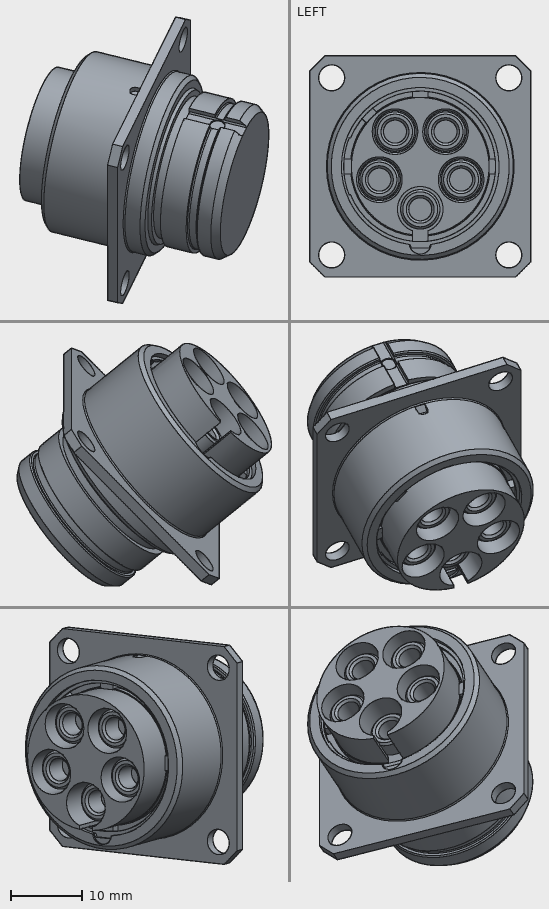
import cadquery as cq
import math


flange_side = 31.0
flange_start = 15.1
flange_thickness = 1.5
flange_end = flange_start + flange_thickness
corner_cut = 2.15
mount_hole_offset = 12.4
mount_hole_radius = 1.8

shell_start = 4.22
shell_end = 19.6
shell_radius = 13.02
shell_chamfer = 0.55
root_flare = 0.12
root_flare_length = 0.22
collar_end = 20.1
collar_front_radius = 11.3
collar_rear_radius = 11.13
neck_radius = 10.25
neck_end = 21.42
total_length = 30.0

ring_radius = 11.15
taper_start = 28.9
taper_end_radius = 10.32
groove_start = 25.23
groove_end = 26.88
groove_radius = 10.5
groove_corner_length = 0.22
groove_corner_height = 0.1
groove_lip = 0.2

channel_half_width = 1.05
channel_floor_half_width = 0.85
channel_corner_height = 0.22
spot_x = 25.98
spot_radius = 1.05
spot_depth = 0.22

pit_radius = 0.75
pit_start = 13.02
pit_ramp_start = 13.98
pit_end = 14.8
pit_floor = shell_radius - (pit_end - pit_ramp_start)

entry_radius = 11.05
entry_end = 4.93
lip_radius = 10.55
lip_end = 5.45
undercut_radius = 11.62
cavity_end = 6.82
relief_radius = 10.73
relief_half_angle = 22.0

key_start = lip_end
angled_key_angle = 45
angled_key_start = entry_end + 0.15
bottom_key_angle = 270
key_angles = [0, angled_key_angle, 90, 180, bottom_key_angle]
key_half_width = 1.05
key_outer = 10.85

keyway_radius = 1.55
keyway_center = 10.73
keyway_round_depth = 0.3
keyway_floor = 11.4
keyway_floor_half_width = 1.25

insert_radius = 9.65
insert_step_radius = 9.8
insert_step_start = 5.9
contact_count = 5
contact_circle_radius = 6.0
pocket_radius = 3.2
pocket_outer_edge = contact_circle_radius + pocket_radius
pocket_depth = key_start
pocket_cone_radius = 2.95
pocket_cone_length = 0.3
contact_radius = 2.75
contact_face_radius = 2.45
contact_tip = 1.75
ground_contact_tip = 2.88
socket_mouth_radius = 1.95
socket_radius = 1.6
socket_depth = 3.72


def revolve_profile(points):
    """Turn a closed outline of (x, radius) points about the X axis."""
    return cq.Workplane("XY").polyline(points).close().revolve(360, (0, 0, 0), (1, 0, 0))


def rod(start, end, radius, y=0.0, z=0.0):
    """Cylinder parallel to X."""
    return cq.Workplane("YZ", origin=(start, 0, 0)).center(y, z).circle(radius).extrude(end - start)


def cone(start, end, start_radius, end_radius, y, z):
    """Truncated cone parallel to X."""
    base = cq.Vector(start, y, z)
    solid = cq.Solid.makeCone(start_radius, end_radius, end - start, base, cq.Vector(1, 0, 0))
    return cq.Workplane(obj=solid)


def block(x_range, y_range, z_range):
    """Axis-aligned box given by its limits."""
    return cq.Workplane("XY").box(
        x_range[1] - x_range[0], y_range[1] - y_range[0], z_range[1] - z_range[0], centered=False
    ).translate((x_range[0], y_range[0], z_range[0]))


def make_shell():
    """Solid outer body, from the cavity mouth to the rear end."""
    return revolve_profile([
        (shell_start, 0),
        (shell_start, shell_radius - shell_chamfer),
        (shell_start + shell_chamfer, shell_radius),
        (flange_start - root_flare_length, shell_radius),
        (flange_start, shell_radius + root_flare),
        (flange_end, shell_radius + root_flare),
        (flange_end + root_flare_length, shell_radius),
        (shell_end - shell_chamfer, shell_radius),
        (shell_end, shell_radius - shell_chamfer),
        (shell_end, collar_front_radius),
        (collar_end, collar_rear_radius),
        (collar_end, neck_radius),
        (neck_end, neck_radius),
        (neck_end, ring_radius),
        (groove_start, ring_radius),
        (groove_start, groove_radius + groove_corner_height),
        (groove_start + groove_corner_length, groove_radius),
        (groove_end - groove_lip - groove_corner_length, groove_radius),
        (groove_end - groove_lip, groove_radius + groove_corner_height),
        (groove_end - groove_lip, ring_radius - groove_lip),
        (groove_end, ring_radius),
        (taper_start, ring_radius),
        (total_length, taper_end_radius),
        (total_length, 0),
    ])


def make_flange():
    """Square plate with cut corners and four mounting holes."""
    plate = (
        cq.Workplane("YZ", origin=(flange_start, 0, 0))
        .rect(flange_side, flange_side)
        .extrude(flange_thickness)
        .edges("|X")
        .chamfer(corner_cut)
    )
    return (
        plate.faces("<X")
        .workplane(origin=(flange_start, 0, 0))
        .rect(2 * mount_hole_offset, 2 * mount_hole_offset, forConstruction=True)
        .vertices()
        .hole(2 * mount_hole_radius)
    )


def make_channel():
    """Chamfered-corner channel along the top of the rear ring, with a round recess in its floor."""
    channel = (
        cq.Workplane("YZ", origin=(neck_end, 0, 0))
        .polyline([
            (-channel_floor_half_width, neck_radius),
            (channel_floor_half_width, neck_radius),
            (channel_half_width, neck_radius + channel_corner_height),
            (channel_half_width, ring_radius),
            (-channel_half_width, ring_radius),
            (-channel_half_width, neck_radius + channel_corner_height),
        ])
        .close()
        .extrude(total_length - neck_end)
    )
    spot = cq.Workplane("XY", origin=(spot_x, 0, neck_radius)).circle(spot_radius).extrude(-spot_depth)
    return channel.union(spot)


def make_pit():
    """Round-ended pit with a flat floor and a ramp."""
    outline = (
        cq.Workplane("XY", origin=(pit_start + pit_radius, 0, pit_floor))
        .circle(pit_radius)
        .extrude(shell_radius - pit_floor)
    )
    straight = block(
        (pit_start + pit_radius, pit_end), (-pit_radius, pit_radius), (pit_floor, shell_radius)
    )
    ramp = (
        cq.Workplane("XZ", origin=(0, pit_radius, 0))
        .polyline([(pit_ramp_start, pit_floor), (pit_end, pit_floor), (pit_end, shell_radius)])
        .close()
        .extrude(2 * pit_radius)
    )
    return outline.union(straight).cut(ramp)


def make_relief():
    """Sector of the lip with a slightly larger bore, on the +Y side."""
    reach = 2 * relief_radius
    half_width = reach * math.tan(math.radians(relief_half_angle))
    wedge = (
        cq.Workplane("YZ", origin=(entry_end, 0, 0))
        .polyline([(0, 0), (reach, -half_width), (reach, half_width)])
        .close()
        .extrude(lip_end - entry_end)
    )
    return rod(entry_end, lip_end, relief_radius).intersect(wedge)


def make_keyway():
    """Rounded notch at the mouth, followed by a flat-floored one."""
    rounded = rod(shell_start, shell_start + keyway_round_depth, keyway_radius, 0, -keyway_center)
    flat = (
        cq.Workplane("YZ", origin=(shell_start, 0, 0))
        .polyline([
            (-keyway_radius, -keyway_center),
            (keyway_radius, -keyway_center),
            (keyway_floor_half_width, -keyway_floor),
            (-keyway_floor_half_width, -keyway_floor),
        ])
        .close()
        .extrude(entry_end - shell_start)
    )
    return rounded.union(flat)


def make_keys():
    """Straight keys around the insert."""
    keys = cq.Workplane("YZ")
    for angle in key_angles:
        start = angled_key_start if angle == angled_key_angle else key_start
        inner = pocket_outer_edge if angle == bottom_key_angle else insert_radius
        key = block(
            (start, cavity_end), (inner, key_outer), (-key_half_width, key_half_width)
        )
        keys = keys.union(key.rotate((0, 0, 0), (1, 0, 0), angle))
    return keys


def make_contact(tip, y, z):
    """Chamfered round contact with a countersunk socket."""
    chamfer = contact_radius - contact_face_radius
    countersink = socket_mouth_radius - socket_radius
    body = cone(tip, tip + chamfer, contact_face_radius, contact_radius, y, z)
    body = body.union(rod(tip + chamfer, tip + socket_depth + chamfer, contact_radius, y, z))
    body = body.cut(cone(tip, tip + countersink, socket_mouth_radius, socket_radius, y, z))
    return body.cut(rod(tip, tip + socket_depth, socket_radius, y, z))


def make_insert():
    """Stepped insert with a ring of contacts, each standing in its own pocket."""
    insert = rod(0, cavity_end, insert_radius).union(rod(insert_step_start, cavity_end, insert_step_radius))
    for index in range(contact_count):
        angle = math.radians(bottom_key_angle + index * 360 / contact_count)
        y = contact_circle_radius * math.cos(angle)
        z = contact_circle_radius * math.sin(angle)
        insert = insert.cut(rod(0, pocket_depth, pocket_radius, y, z))
        is_ground = index == 0
        if is_ground:
            slot = block(
                (0, pocket_depth), (-key_half_width, key_half_width), (-insert_step_radius, z)
            )
            insert = insert.cut(slot)
            tip = ground_contact_tip
        else:
            cone_end = pocket_depth + pocket_cone_length
            insert = insert.cut(cone(pocket_depth, cone_end, pocket_radius, pocket_cone_radius, y, z))
            tip = contact_tip
        insert = insert.cut(rod(tip, tip + socket_depth, contact_radius, y, z))
        insert = insert.union(make_contact(tip, y, z))
    return insert


def make_cavity():
    """Space around the insert, open at the front."""
    cavity = rod(shell_start, entry_end, entry_radius)
    cavity = cavity.union(rod(entry_end, lip_end, lip_radius))
    cavity = cavity.union(rod(lip_end, cavity_end, undercut_radius))
    return cavity.union(make_relief()).union(make_keyway())


shell = make_shell().union(make_flange()).cut(make_channel()).cut(make_pit()).cut(make_cavity())
result = shell.union(make_keys()).union(make_insert())